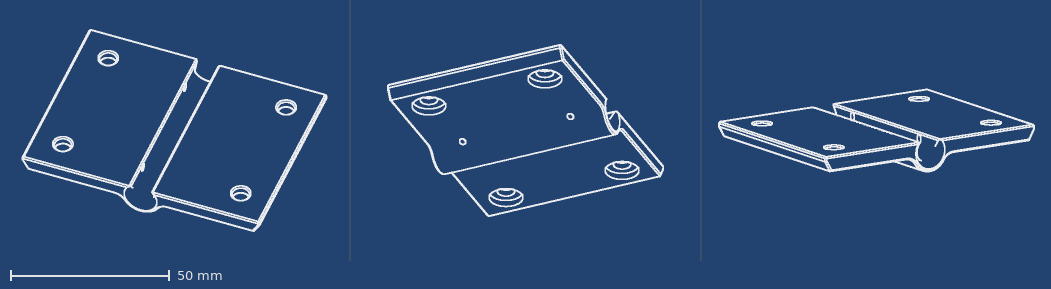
import cadquery as cq
import math

length = 79.95
width = 60.0
height = 10.0

plate_thickness = 4.95
tip_land = 1.5
tip_taper_angle = 30.0
edge_chamfer = 0.495

bulge_radius = 6.5
bulge_fillet = 4.0
channel_radius = 7.0 / 2
channel_axis_z = bulge_radius - height

flare_radius = 11.0 / 2
flare_blend_radius = 3.0
flare_angle = math.radians(45.0)

mount_hole_radius = 5.4 / 2
counterbore_radius = 10.6 / 2
counterbore_depth = 2.2
mount_pitch_x = 60.0
mount_pitch_y = 40.0

drain_radius = 2.0 / 2
drain_pitch_y = 37.1
drain_wall_z = -2.0
drain_angle = math.radians(45.0)
drain_lead = 2.4
drain_length = 11.2

clearance = 0.8


def plate_body():
    """Tapered plate with a filleted half-round bulge along its underside."""
    half_length = length / 2
    tip_inset = (plate_thickness - tip_land) * math.tan(math.radians(tip_taper_angle))

    fillet_z = -plate_thickness - bulge_fillet
    centre_rise = channel_axis_z - fillet_z
    centre_distance = bulge_radius + bulge_fillet
    fillet_x = math.sqrt(centre_distance**2 - centre_rise**2)
    bulge_share = bulge_radius / centre_distance
    tangent_x = fillet_x * bulge_share
    tangent_z = channel_axis_z - centre_rise * bulge_share

    end_angle = math.pi - math.atan2(centre_rise, fillet_x)
    middle_angle = (math.pi / 2 + end_angle) / 2
    middle_x = fillet_x + bulge_fillet * math.cos(middle_angle)
    middle_z = fillet_z + bulge_fillet * math.sin(middle_angle)

    body = (
        cq.Workplane("XZ")
        .moveTo(-half_length, 0)
        .lineTo(half_length, 0)
        .lineTo(half_length, -tip_land)
        .lineTo(half_length - tip_inset, -plate_thickness)
        .lineTo(fillet_x, -plate_thickness)
        .threePointArc((middle_x, middle_z), (tangent_x, tangent_z))
        .threePointArc((0, -height), (-tangent_x, tangent_z))
        .threePointArc((-middle_x, middle_z), (-fillet_x, -plate_thickness))
        .lineTo(-half_length + tip_inset, -plate_thickness)
        .lineTo(-half_length, -tip_land)
        .close()
        .extrude(width / 2, both=True)
    )
    end_edges = body.faces("<Y or >Y").edges()
    top_side_edges = body.faces(">Z").edges("|Y")
    return end_edges.add(top_side_edges).chamfer(edge_chamfer)


def channel_cutter():
    """U-shaped channel along Y with chamfered top edges."""
    mouth_half_width = channel_radius + edge_chamfer
    return (
        cq.Workplane("XZ")
        .moveTo(-mouth_half_width, clearance)
        .lineTo(mouth_half_width, clearance)
        .lineTo(mouth_half_width, 0)
        .lineTo(channel_radius, -edge_chamfer)
        .lineTo(channel_radius, channel_axis_z)
        .threePointArc((0, channel_axis_z - channel_radius), (-channel_radius, channel_axis_z))
        .lineTo(-channel_radius, -edge_chamfer)
        .lineTo(-mouth_half_width, 0)
        .close()
        .extrude(width / 2 + clearance, both=True)
    )


def flare_cutter():
    """Conical mouth at the +Y end, blended into the channel by a tangent arc."""
    end_y = width / 2
    corner_y = end_y - (flare_radius - channel_radius) / math.tan(flare_angle)
    half_turn = flare_angle / 2
    tangent_length = flare_blend_radius * math.tan(half_turn)
    blend_start_y = corner_y - tangent_length
    blend_middle = (
        channel_radius + flare_blend_radius * (1 - math.cos(half_turn)),
        blend_start_y + flare_blend_radius * math.sin(half_turn),
    )
    blend_end = (
        channel_radius + tangent_length * math.sin(flare_angle),
        corner_y + tangent_length * math.cos(flare_angle),
    )
    return (
        cq.Workplane("XY", origin=(0, 0, channel_axis_z))
        .moveTo(0, blend_start_y)
        .lineTo(channel_radius, blend_start_y)
        .threePointArc(blend_middle, blend_end)
        .lineTo(flare_radius, end_y)
        .lineTo(0, end_y)
        .close()
        .revolve(360, (0, 0), (0, 1))
    )


def mount_hole_cutter():
    """Through hole with a chamfered top rim and a counterbore underneath."""
    rim_radius = mount_hole_radius + edge_chamfer
    shoulder_z = counterbore_depth - plate_thickness
    return (
        cq.Workplane("XZ")
        .lineTo(rim_radius, 0)
        .lineTo(mount_hole_radius, -edge_chamfer)
        .lineTo(mount_hole_radius, shoulder_z)
        .lineTo(counterbore_radius, shoulder_z)
        .lineTo(counterbore_radius, -plate_thickness)
        .lineTo(0, -plate_thickness)
        .close()
        .revolve(360, (0, 0), (0, 1))
    )


def drain_cutter():
    """Inclined hole that leaves the +X channel wall and falls towards +X."""
    direction = cq.Vector(math.cos(drain_angle), 0, -math.sin(drain_angle))
    start = cq.Vector(channel_radius, 0, drain_wall_z) - direction * drain_lead
    return cq.Workplane(obj=cq.Solid.makeCylinder(drain_radius, drain_length, start, direction))


result = plate_body().cut(channel_cutter())

flare = flare_cutter()
result = result.cut(flare).cut(flare.mirror("XZ"))

mount_hole = mount_hole_cutter()
for x in (-mount_pitch_x / 2, mount_pitch_x / 2):
    for y in (-mount_pitch_y / 2, mount_pitch_y / 2):
        result = result.cut(mount_hole.translate((x, y, 0)))

drain = drain_cutter()
for y in (-drain_pitch_y / 2, drain_pitch_y / 2):
    placed_drain = drain.translate((0, y, 0))
    result = result.cut(placed_drain).cut(placed_drain.mirror("YZ"))